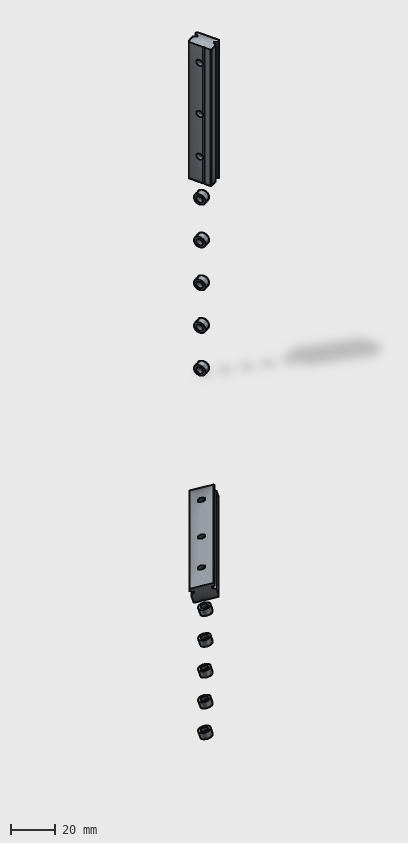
import cadquery as cq

total_length = 193.0
rail_length = 79.9
rail_width = 12.0
rail_depth = 8.0
edge_chamfer = 0.46

notch_start = 1.2
notch_end = 3.7
notch_depth = 1.4
relief_depth = 1.7
relief_width = 0.5

groove_left = 1.5
groove_right = 2.5
groove_depth = 0.2

hole_diameter = 3.5
plug_diameter = 6.0
plug_thickness = 3.5
plug_count = 5
first_hole_drop = 10.0
first_plug_drop = 90.0

last_plug_drop = total_length - plug_diameter / 2
hole_pitch = (last_plug_drop - first_plug_drop) / (plug_count - 1)
hole_drops = [
    first_hole_drop,
    first_plug_drop - 2 * hole_pitch,
    first_plug_drop - hole_pitch,
]
plug_drops = [first_plug_drop + i * hole_pitch for i in range(plug_count)]


def rail_blank():
    """Chamfered bar with its top end at Z = 0 and its front face at Y = 0."""
    bar = cq.Workplane("XY").box(rail_width, rail_depth, rail_length, centered=(True, False, False))
    return bar.translate((0, 0, -rail_length)).edges("|Z").chamfer(edge_chamfer)


def side_notch(side):
    """V-shaped track with a relief slot, cut into the side at +X (side = 1) or -X (side = -1)."""
    mouth_x = side * rail_width / 2
    flank_end_x = mouth_x - side * notch_depth
    floor_x = mouth_x - side * relief_depth
    mouth_back = rail_depth - notch_start
    mouth_front = rail_depth - notch_end
    middle = (mouth_back + mouth_front) / 2
    outline = [
        (mouth_x, mouth_back),
        (flank_end_x, middle + relief_width / 2),
        (floor_x, middle + relief_width / 2),
        (floor_x, middle - relief_width / 2),
        (flank_end_x, middle - relief_width / 2),
        (mouth_x, mouth_front),
    ]
    return cq.Workplane("XY").polyline(outline).close().extrude(-rail_length)


def marking_groove():
    """Full-length shallow groove in the front face."""
    groove = cq.Workplane("XY").box(
        groove_right - groove_left, groove_depth, rail_length, centered=False
    )
    return groove.translate((groove_left, 0, -rail_length))


def cylinder_along_y(diameter, length, drop):
    """Cylinder running from Y = 0 toward +Y, centred the given distance below the rail top."""
    return cq.Workplane("XZ").center(0, -drop).circle(diameter / 2).extrude(-length)


def make_rail():
    rail = rail_blank()
    for side in (-1, 1):
        rail = rail.cut(side_notch(side))
    rail = rail.cut(marking_groove())
    for drop in hole_drops:
        rail = rail.cut(cylinder_along_y(hole_diameter, rail_depth, drop))
    return rail


def make_plug(drop):
    """Ring with its front face flush with the front of the rail."""
    ring = cylinder_along_y(plug_diameter, plug_thickness, drop)
    return ring.cut(cylinder_along_y(hole_diameter, plug_thickness, drop))


rail = make_rail()
plugs = [make_plug(drop) for drop in plug_drops]

result = cq.Compound.makeCompound([rail.val(), *[plug.val() for plug in plugs]])